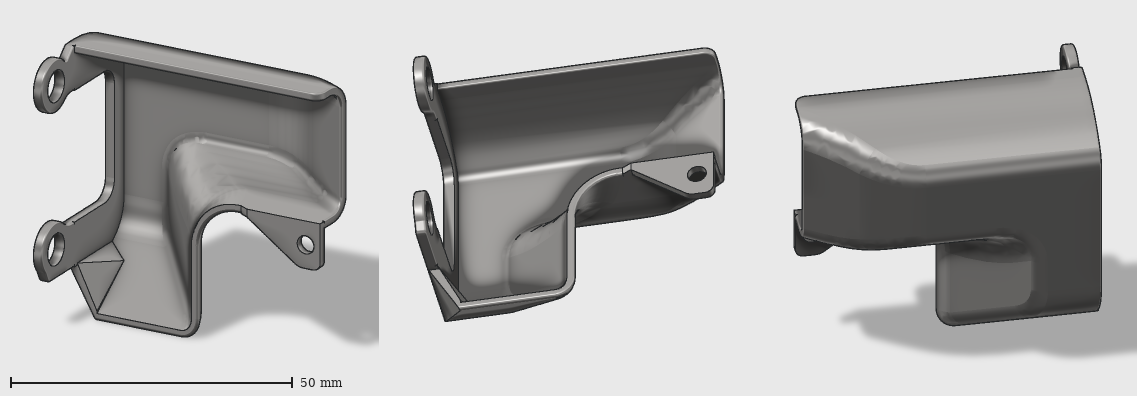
import cadquery as cq
import math

length = 52.05
top_z = 36.5
back_y = 26.0
lip_y = 6.65
rim_y = 7.6
split_z = 20.0
wall = 1.5
reach = 60.0
open_y = -10.0
open_x = -5.0
open_length = 70.0

roof_radius = 22.0
roof_flat_y = 9.83
roof_corner_radius = 5.0
trough_angle = math.radians(35)
trough_tip_z = -15.75
trough_corner_radius = 10.0

bend_x = 31.6
bend_radius = 20.0
bend_angle = math.radians(35)

shelf_z = 12.05
shelf_break_y = 19.3
shelf_angle = math.radians(37)
shelf_radius = 12.0
side_x = 25.42
side_break_y = 8.77
side_angle = math.radians(47)
side_radius = 6.5
step_corner_radius = 9.4
foot_radius = 2.4

plate_bottom_z = -5.5
end_top_z = -5.1
end_x = 6.02
end_inner_bottom_z = -13.5
end_inner_back_y = 17.3
end_inner_back_z = -7.1

plate_thickness = 2.0
hole_spacing = 31.0
hole_diameter = 6.0
lug_radius = 5.0
lug_blend = 4.0
window_back_y = 21.0
window_bottom_z = 3.0
window_top_z = 28.0
window_radius = 3.5
notch_bottom = (3.6, 33.85)
notch_top = (6.6, 36.5)
notch_round = 0.8
heel_bottom = (-2.6, plate_bottom_z)
heel_round = 1.0
heel_top_round = 0.5
heel_top = (-3.9, -2.9)
edge_round = 0.4
rim_round = 0.5
lip_round = 0.35
lip_corner_radius = 2.0

tab_thickness = 1.5
tab_bottom_z = 3.0
tab_start_x = 37.1
tab_ramp_x = 35.4
tab_slope_end_x = 47.65
tab_hole_diameter = 3.4
tab_hole_x, tab_hole_z = 49.05, 7.5
tab_corner_radius = 1.5
tab_slope_radius = 3.0


def near(x, y, z):
    return cq.selectors.NearestToPointSelector((x, y, z))


def section(inset):
    """Hood and trough section swept along X, with the trough corner rounded."""
    back = back_y - inset
    top = top_z - inset
    radius = roof_radius - inset
    centre_z = top_z - roof_radius
    roof_end_z = centre_z + math.sqrt(radius ** 2 - (back - roof_flat_y) ** 2)
    half_angle = math.asin((back - roof_flat_y) / radius) / 2
    mid = (roof_flat_y + radius * math.sin(half_angle), centre_z + radius * math.cos(half_angle))
    slope = math.tan(trough_angle)
    tip_z = trough_tip_z + inset / math.cos(trough_angle)
    corner_z = tip_z + (rim_y - back) * -slope
    front_z = tip_z - (rim_y - open_y) * slope
    body = (
        cq.Workplane("YZ", origin=(open_x, 0, 0))
        .moveTo(open_y, front_z)
        .lineTo(open_y, top)
        .lineTo(roof_flat_y, top)
        .threePointArc(mid, (back, roof_end_z))
        .lineTo(back, corner_z)
        .close()
        .extrude(open_length)
    )
    corner = near(open_x + open_length / 2, back, corner_z)
    return body.edges(corner).fillet(trough_corner_radius - inset), roof_end_z


def plan(inset):
    """Area in front of the back wall and of its sloped end, full height."""
    radius = bend_radius - inset
    back = back_y - inset

    def on_bend(angle):
        return (bend_x + radius * math.sin(angle), back - radius * (1 - math.cos(angle)))

    bend_end = on_bend(bend_angle)
    end = open_x + open_length
    end_y = bend_end[1] - (end - bend_end[0]) * math.tan(bend_angle)
    return (
        cq.Workplane("XY", origin=(0, 0, -reach))
        .moveTo(-reach, -reach)
        .lineTo(-reach, back)
        .lineTo(bend_x, back)
        .threePointArc(on_bend(bend_angle / 2), bend_end)
        .lineTo(end, end_y)
        .lineTo(end, -reach)
        .close()
        .extrude(2 * reach)
    )


def step_block(inset):
    """Space right of the trough and below the shelf, with its long edge rounded."""
    x = side_x + inset
    break_y = side_break_y + inset * math.tan((math.pi / 2 - side_angle) / 2)
    far_y = back_y + 4
    far_x = x - (far_y - break_y) / math.tan(side_angle)
    side = (
        cq.Workplane("XY", origin=(0, 0, -reach))
        .moveTo(x, -reach)
        .lineTo(x, break_y)
        .lineTo(far_x, far_y)
        .lineTo(2 * reach, far_y)
        .lineTo(2 * reach, -reach)
        .close()
        .extrude(2 * reach)
        .edges(near(x, break_y, 0))
        .fillet(side_radius + inset)
    )
    z = shelf_z - inset
    shelf_break = shelf_break_y + inset * math.tan(shelf_angle / 2)
    shelf = (
        cq.Workplane("YZ", origin=(-reach, 0, 0))
        .moveTo(-reach, z)
        .lineTo(shelf_break, z)
        .lineTo(far_y, z + (far_y - shelf_break) * math.tan(shelf_angle))
        .lineTo(far_y, -reach)
        .lineTo(-reach, -reach)
        .close()
        .extrude(3 * reach)
        .edges(near(reach / 2, shelf_break, z))
        .fillet(shelf_radius + inset)
    )
    block = side.intersect(shelf)
    return block.edges(near(x, 0, z)).fillet(step_corner_radius - inset)


def hood_body(inset):
    """Hood and trough with rounded corners, before the step is taken out."""
    body, roof_end_z = section(inset)
    body = body.intersect(plan(inset))
    roof_edge = near(bend_x / 2, back_y - inset, roof_end_z)
    return body.edges(roof_edge).fillet(roof_corner_radius - inset)


def skin(inset):
    """Untrimmed volume bounded by one skin of the shell."""
    body = hood_body(inset).cut(step_block(wall - inset))
    foot_edge = near(side_x, back_y - inset, shelf_z + wall + foot_radius)
    return body.edges(foot_edge).fillet(foot_radius + wall - inset)


def box(x0, x1, y0, y1, z0, z1):
    return cq.Workplane("XY").box(x1 - x0, y1 - y0, z1 - z0, centered=False).translate((x0, y0, z0))


def left_end_cut():
    """Removes everything left of the diagonal trough end."""
    slope = (trough_tip_z - end_top_z) / end_x
    far_x = 2 * end_x
    return (
        cq.Workplane("XZ", origin=(0, reach, 0))
        .polyline([
            (0, end_top_z),
            (far_x, end_top_z + slope * far_x),
            (-reach, end_top_z + slope * far_x),
            (-reach, end_top_z),
        ])
        .close()
        .extrude(2 * reach)
    )


def left_end_fill():
    """Material kept behind the diagonal end, closed by one slanted face."""
    front_top = cq.Vector(plate_thickness, rim_y, end_top_z)
    front_bottom = cq.Vector(end_x, rim_y, end_inner_bottom_z)
    floor_top = cq.Vector(end_x, end_inner_back_y, end_inner_back_z)
    along = floor_top - front_bottom
    normal = along.cross(front_top - front_bottom)
    if normal.z < 0:
        normal = normal * -1
    face = cq.Plane(origin=front_bottom.toTuple(), xDir=along.toTuple(), normal=normal.toTuple())
    below_face = cq.Workplane(face).rect(2 * reach, 2 * reach).extrude(-reach)
    outline = (
        cq.Workplane("XZ", origin=(0, reach, 0))
        .polyline([
            (open_x, end_top_z),
            (front_top.x, front_top.z),
            (floor_top.x, floor_top.z),
            (end_x, -reach),
            (open_x, -reach),
        ])
        .close()
        .extrude(2 * reach)
    )
    return outline.intersect(below_face)


def shell():
    outer = skin(0)
    outer = outer.intersect(box(0, length, open_y, reach, -reach, reach))
    outer = outer.cut(box(0, length, open_y, lip_y, split_z, reach))
    outer = outer.cut(left_end_cut())
    outer = outer.cut(box(0, plate_thickness, open_y, reach, end_top_z, reach))
    cavity = skin(wall)
    cavity = cavity.intersect(box(plate_thickness, reach, -reach, reach, -reach, reach))
    body = outer.cut(cavity.cut(left_end_fill()))
    lip_corner = near(length, lip_y, top_z - wall / 2)
    body = body.edges(lip_corner).fillet(lip_corner_radius)
    for z in (top_z - wall, top_z):
        body = body.edges(near(length / 2, lip_y, z)).fillet(lip_round)
    body = body.cut(box(0, tab_start_x, open_y, rim_y, -reach, split_z))
    body = body.cut(box(tab_start_x, length, open_y, lip_y, -reach, split_z))
    return body.edges(near(length / 4, rim_y, trough_tip_z)).fillet(rim_round)


def hinge_plate():
    """C-shaped plate closing the left end, carrying two hinge lugs."""
    lug_centres = [(0, 0), (0, hole_spacing)]
    arms = (
        cq.Workplane("YZ")
        .polyline([
            (back_y + 1, plate_bottom_z),
            heel_bottom,
            heel_top,
            lug_centres[0],
            lug_centres[1],
            notch_bottom,
            notch_top,
            (notch_top[0], top_z + 1),
            (back_y + 1, top_z + 1),
        ])
        .close()
        .extrude(plate_thickness)
    )
    arms = arms.intersect(hood_body(0))
    window = box(-1, plate_thickness + 1, -reach, window_back_y, window_bottom_z, window_top_z)
    window = window.edges("|X and >Y").fillet(window_radius)
    lugs = cq.Workplane("YZ").pushPoints(lug_centres).circle(lug_radius).extrude(plate_thickness)
    plate = arms.cut(window).union(lugs)
    root_y = math.sqrt(lug_radius ** 2 - window_bottom_z ** 2)
    mid_x = plate_thickness / 2
    for root_z in (window_bottom_z, window_top_z):
        plate = plate.edges(near(mid_x, root_y, root_z)).fillet(lug_blend)
    for corner, radius in (
        (notch_bottom, notch_round),
        (notch_top, notch_round),
        (heel_top, heel_top_round),
        (heel_bottom, heel_round),
    ):
        plate = plate.edges(near(mid_x, *corner)).fillet(radius)
    backing = plate.intersect(box(mid_x, plate_thickness, lip_y, reach, -reach, reach))
    rounded = plate.faces("<X or >X").edges().fillet(edge_round)
    return rounded.union(backing), lug_centres


def hinge_holes(centres):
    return cq.Workplane("YZ").pushPoints(centres).circle(hole_diameter / 2).extrude(plate_thickness)


def screw_tab():
    """Ear hanging from the front of the shelf, ramped into the trough rim."""
    back = lip_y + tab_thickness
    ear = (
        cq.Workplane("XZ", origin=(0, back, 0))
        .polyline([
            (tab_ramp_x, shelf_z),
            (tab_ramp_x, shelf_z - wall),
            (tab_start_x, shelf_z - wall),
            (tab_slope_end_x, tab_bottom_z),
            (length, tab_bottom_z),
            (length, shelf_z),
        ])
        .close()
        .extrude(tab_thickness)
        .edges(near(length, lip_y + tab_thickness / 2, tab_bottom_z))
        .fillet(tab_corner_radius)
        .edges(near(tab_slope_end_x, lip_y + tab_thickness / 2, tab_bottom_z))
        .fillet(tab_slope_radius)
    )
    ramp = (
        cq.Workplane("XY", origin=(0, 0, tab_bottom_z))
        .polyline([(tab_ramp_x, lip_y), (tab_start_x, lip_y), (tab_ramp_x, rim_y)])
        .close()
        .extrude(shelf_z - tab_bottom_z)
    )
    hole = (
        cq.Workplane("XZ", origin=(0, back, 0))
        .center(tab_hole_x, tab_hole_z)
        .circle(tab_hole_diameter / 2)
        .extrude(tab_thickness)
    )
    return ear.cut(ramp).cut(hole)


plate, lug_centres = hinge_plate()
result = shell().union(plate).cut(hinge_holes(lug_centres)).union(screw_tab())